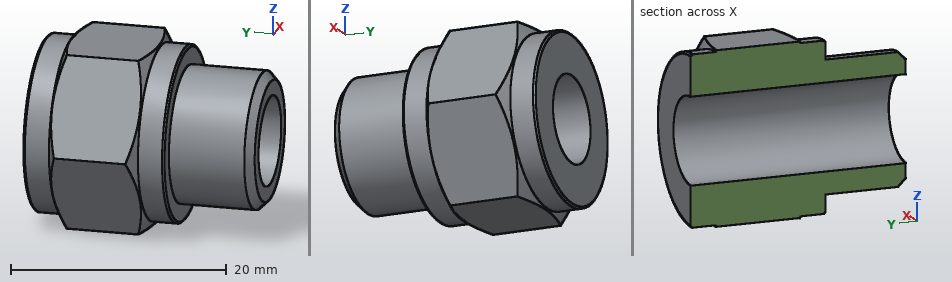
import cadquery as cq
import math

total_length = 21.5
collar_length = 2.5
hex_length = 8.51
stem_length = total_length - hex_length - 2 * collar_length

across_flats = 17.0
across_corners = across_flats / math.cos(math.radians(30))
collar_radius = 8.36
stem_radius = 6.51
bore_radius = 4.25

collar_chamfer = 0.2
stem_chamfer = 0.8
hex_chamfer_angle = 30
hex_chamfer_length = (across_corners / 2 - collar_radius) * math.tan(math.radians(hex_chamfer_angle))


def cylinder(radius, start, length):
    """Cylinder on the Z axis, starting at height start."""
    return cq.Workplane("XY").workplane(offset=start).circle(radius).extrude(length)


def chamfered_hex(start):
    """Hexagon with conically chamfered corners at both ends."""
    prism = cq.Workplane("XY").workplane(offset=start).polygon(6, across_corners).extrude(hex_length)
    end = start + hex_length
    corner_radius = across_corners / 2
    envelope = (
        cq.Workplane("XZ")
        .moveTo(0, start)
        .lineTo(collar_radius, start)
        .lineTo(corner_radius, start + hex_chamfer_length)
        .lineTo(corner_radius, end - hex_chamfer_length)
        .lineTo(collar_radius, end)
        .lineTo(0, end)
        .close()
        .revolve(360, (0, 0, 0), (0, 1, 0))
    )
    return prism.intersect(envelope)


hex_start = stem_length + collar_length
stem = cylinder(stem_radius, 0, stem_length).faces("<Z").chamfer(stem_chamfer)
front_collar = cylinder(collar_radius, stem_length, collar_length).faces("<Z").chamfer(collar_chamfer)
rear_collar = cylinder(collar_radius, hex_start + hex_length, collar_length).faces(">Z").chamfer(collar_chamfer)
body = stem.union(front_collar).union(chamfered_hex(hex_start)).union(rear_collar)

body = body.cut(cylinder(bore_radius, 0, total_length))

result = body.rotate((0, 0, 0), (1, 0, 0), -90)